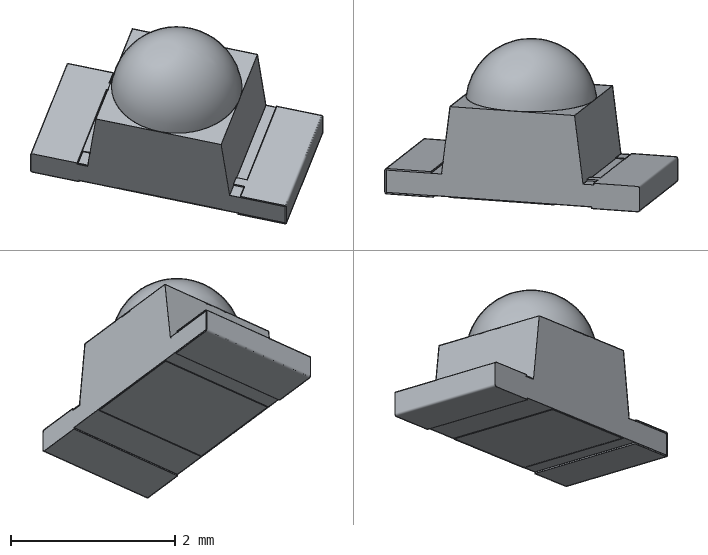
import cadquery as cq
import math


length = 3.24
width = 1.6
height = 1.85

plating = 0.02
corner_radius = 0.03
top_pad = 0.585
bottom_pad = 0.612
trace_width = 0.117
trace_edge = 0.178

board_length = length - 2 * plating
board_thickness = 0.28
board_bottom = plating
board_top = board_bottom + board_thickness
terminal_height = board_top + plating

body_base = 1.798
body_top = 1.585
body_top_z = 1.15

lens_radius = width / 2
lens_center_z = height - lens_radius

mark_thickness = 0.01
mark_clearance = 0.01
top_mark_width = 0.215
bottom_mark_start = -0.525
bottom_mark_end = 0.79


def block(x_range, y_range, z_range):
    """Box given by its limits along each axis."""
    limits = (x_range, y_range, z_range)
    sizes = [end - start for start, end in limits]
    corner = tuple(start for start, end in limits)
    return cq.Workplane("XY").box(*sizes, centered=False).translate(corner)


def make_board():
    return block(
        (-board_length / 2, board_length / 2),
        (-width / 2, width / 2),
        (board_bottom, board_top),
    )


def make_body():
    """Tapered block as wide as the board, standing on its top face."""
    return (
        cq.Workplane("XZ")
        .polyline([
            (-body_base / 2, board_top),
            (body_base / 2, board_top),
            (body_top / 2, body_top_z),
            (-body_top / 2, body_top_z),
        ])
        .close()
        .extrude(width / 2, both=True)
    )


def make_lens():
    """Spherical cap standing on the top face of the body."""
    base_radius = math.sqrt(lens_radius**2 - (body_top_z - lens_center_z) ** 2)
    return (
        cq.Workplane("XZ")
        .moveTo(0, body_top_z)
        .lineTo(base_radius, body_top_z)
        .radiusArc((0, height), -lens_radius)
        .close()
        .revolve(360, (0, 0), (0, 1))
    )


def make_terminal_wrap():
    """Plating round the +X end of the board, with its trace up to the body."""
    end = length / 2
    across = (-width / 2, width / 2)
    lower = block((end - bottom_pad, end), across, (0, board_top))
    upper = block((end - top_pad, end), across, (board_top, terminal_height))
    wrap = lower.union(upper).edges(">X and |Y").fillet(corner_radius)
    trace_start = -width / 2 + trace_edge
    trace = block(
        (body_top / 2, end - top_pad),
        (trace_start, trace_start + trace_width),
        (board_top, terminal_height),
    )
    return wrap.union(trace).cut(make_board()).cut(make_body())


def make_housing():
    """Board, body, lens and the -X terminal, which are one piece."""
    left_wrap = make_terminal_wrap().rotate((0, 0, 0), (0, 0, 1), 180)
    return make_board().union(make_body()).union(make_lens()).union(left_wrap)


def make_top_mark():
    """Thin patch on the board between the -X pad and the body."""
    mark_start_y = -width / 2 + mark_clearance
    return block(
        (-length / 2 + top_pad + mark_clearance, -body_base / 2),
        (mark_start_y, mark_start_y + top_mark_width),
        (board_top, board_top + mark_thickness),
    )


def make_bottom_mark():
    """Thin patch under the board between the two pads."""
    half_width = width / 2 - mark_clearance
    return block(
        (bottom_mark_start, bottom_mark_end),
        (-half_width, half_width),
        (board_bottom - mark_thickness, board_bottom),
    )


housing = make_housing()
right_terminal = make_terminal_wrap()
top_mark = make_top_mark()
bottom_mark = make_bottom_mark()

result = cq.Compound.makeCompound([
    housing.solids().val(),
    right_terminal.solids().val(),
    top_mark.solids().val(),
    bottom_mark.solids().val(),
])